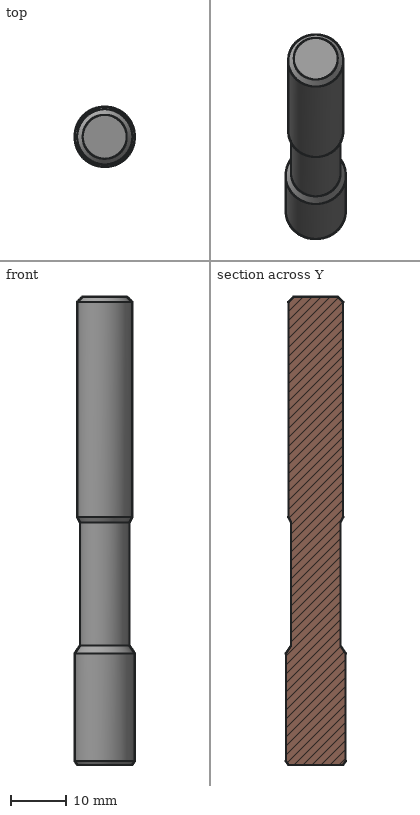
import cadquery as cq

total_length = 85.0
head_diameter = 11.0
neck_diameter = 9.0
shank_diameter = 10.0

head_straight_end = 20.2
neck_start = 21.7
neck_end = 44.0
shank_straight_start = 45.0

base_chamfer_radial = 0.5
base_chamfer_height = 0.8
tip_chamfer_radial = 1.0
tip_chamfer_height = 1.0

head_radius = head_diameter / 2
neck_radius = neck_diameter / 2
shank_radius = shank_diameter / 2

half_profile = (
    cq.Workplane("XZ")
    .moveTo(0, 0)
    .lineTo(head_radius - base_chamfer_radial, 0)
    .lineTo(head_radius, base_chamfer_height)
    .lineTo(head_radius, head_straight_end)
    .lineTo(neck_radius, neck_start)
    .lineTo(neck_radius, neck_end)
    .lineTo(shank_radius, shank_straight_start)
    .lineTo(shank_radius, total_length - tip_chamfer_height)
    .lineTo(shank_radius - tip_chamfer_radial, total_length)
    .lineTo(0, total_length)
    .close()
)

result = half_profile.revolve(360, (0, 0, 0), (0, 1, 0))